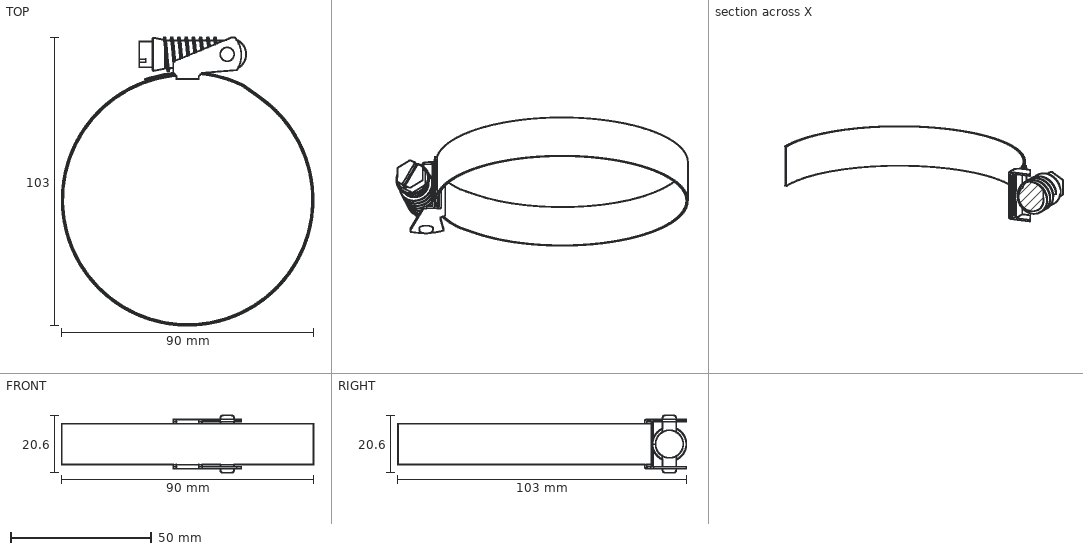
import cadquery as cq
import math


band_radius = 45.0
band_thickness = 0.6
band_width = 14.6
layer_gap = 0.05
joggle_start = 55.2
joggle_end = 64.5
inner_end_angle = 90
tongue_angle = 109.5
tongue_corner = 1.9

axis_y = 51.9
core_radius = 4.9
thread_radius = 6.1
thread_pitch = 2.6
thread_turns = 7.5
thread_start = -8.2
thread_root = 0.9
thread_crest = 0.5
thread_clearance = 0.05
thread_sink = 0.2
head_end = -17.3
head_flats = 9.3
head_corner = 0.6
collar_start = -12.6
collar_taper_end = -8.1
collar_chamfer_length = 0.3
collar_face_radius = 5.6
collar_radius = 6.0
collar_end_radius = 5.2
slot_width = 1.2
slot_depth = 2.3
slot_angle = 60
tip = 20.9
dome_radius = 5.7

pin_x = 14.1
pin_radius = 2.5
pin_rounding = 1.0
pin_end = 10.3
pin_socket_end = 3.1

sheet = 0.8
bracket_half_width = 8.9
bar_half_length = 5.2
bar_top = 46.1
strip_half_length = 4.0
strip_bottom = 43.1
foot_shoulder = 44.1
plate_bottom = 45.2
plate_left_top = 49.3
plate_top_y = 58.0
plate_top_left = 15.8
plate_top_right = 16.9
plate_nose = 19.2
plate_tail_x = 17.6
plate_tail_y = 46.3
plate_corner = 1.0

band_inner_radius = band_radius - band_thickness
lap_inner_radius = band_radius + layer_gap
lap_radius = lap_inner_radius + band_thickness


def polar(radius, angle):
    """Point in the XY plane at an angle in degrees from +X."""
    turn = math.radians(angle)
    return radius * math.cos(turn), radius * math.sin(turn)


def make_band():
    """Open ring whose end steps outwards and laps over its own beginning."""
    opposite = (inner_end_angle + joggle_start + 360) / 2
    lap_middle = (joggle_end + tongue_angle) / 2
    strip = (
        cq.Workplane("XY", origin=(0, 0, -band_width / 2))
        .moveTo(*polar(band_radius, inner_end_angle))
        .threePointArc(polar(band_radius, opposite), polar(band_radius, joggle_start))
        .lineTo(*polar(lap_radius, joggle_end))
        .threePointArc(polar(lap_radius, lap_middle), polar(lap_radius, tongue_angle))
        .lineTo(*polar(lap_inner_radius, tongue_angle))
        .threePointArc(polar(lap_inner_radius, lap_middle), polar(lap_inner_radius, joggle_end))
        .lineTo(*polar(band_inner_radius, joggle_start))
        .threePointArc(polar(band_inner_radius, opposite), polar(band_inner_radius, inner_end_angle))
        .close()
        .extrude(band_width)
    )
    tongue_middle = polar((lap_radius + lap_inner_radius) / 2, tongue_angle)
    tongue_corners = [
        cq.selectors.NearestToPointSelector((*tongue_middle, side * band_width / 2))
        for side in (-1, 1)
    ]
    return strip.edges(tongue_corners[0] + tongue_corners[1]).fillet(tongue_corner)


def make_bracket():
    """Two side plates joined by a bar above the band and a strip below it."""
    def plate(bottom):
        top_left_corner = (-bar_half_length, plate_left_top, bottom + sheet / 2)
        return (
            cq.Workplane("XY", origin=(0, 0, bottom))
            .moveTo(-bar_half_length, plate_bottom)
            .lineTo(-strip_half_length, foot_shoulder)
            .lineTo(-strip_half_length, strip_bottom)
            .lineTo(strip_half_length, strip_bottom)
            .lineTo(strip_half_length, foot_shoulder)
            .lineTo(bar_half_length, plate_bottom)
            .lineTo(plate_tail_x, plate_tail_y)
            .threePointArc((plate_nose, axis_y), (plate_top_right, plate_top_y))
            .lineTo(plate_top_left, plate_top_y)
            .lineTo(-bar_half_length, plate_left_top)
            .close()
            .extrude(sheet)
            .edges(cq.selectors.NearestToPointSelector(top_left_corner))
            .fillet(plate_corner)
        )

    inside = 2 * (bracket_half_width - sheet)
    strip = cq.Workplane("XY").box(2 * strip_half_length, sheet, inside)
    strip = strip.translate((0, strip_bottom + sheet / 2, 0))
    lap_at_bar_end = math.sqrt(lap_radius**2 - bar_half_length**2)
    bar = (
        cq.Workplane("XY", origin=(0, 0, -inside / 2))
        .moveTo(-bar_half_length, lap_at_bar_end)
        .threePointArc((0, lap_radius), (bar_half_length, lap_at_bar_end))
        .lineTo(bar_half_length, bar_top)
        .lineTo(-bar_half_length, bar_top)
        .close()
        .extrude(inside)
    )
    trough = (
        cq.Workplane("YZ", origin=(-bar_half_length, axis_y, 0))
        .circle(thread_radius + thread_clearance)
        .extrude(2 * bar_half_length)
    )
    bracket = strip.union(bar.cut(trough))
    for bottom in (-bracket_half_width, bracket_half_width - sheet):
        bracket = bracket.union(plate(bottom))

    bends = [
        cq.selectors.NearestToPointSelector((0, strip_bottom, side * bracket_half_width))
        for side in (-1, 1)
    ]
    bracket = bracket.edges(bends[0] + bends[1]).fillet(sheet)

    pin_holes = (
        cq.Workplane("XY", origin=(pin_x, axis_y, -bracket_half_width))
        .circle(pin_radius)
        .extrude(2 * bracket_half_width)
    )
    return bracket.cut(pin_holes)


def make_thread():
    """Right-handed ridge wound round +Z from the origin, starting at +X."""
    height = thread_pitch * thread_turns
    root_radius = core_radius - thread_sink
    path = cq.Wire.makeHelix(thread_pitch, height, root_radius)
    return (
        cq.Workplane("XZ")
        .moveTo(root_radius, -thread_root / 2)
        .lineTo(thread_radius, -thread_crest / 2)
        .lineTo(thread_radius, thread_crest / 2)
        .lineTo(root_radius, thread_root / 2)
        .close()
        .sweep(cq.Workplane(path), isFrenet=True)
    )


def make_screw():
    """Hexagon-headed screw with collar, thread and domed tip."""
    dome_start = tip - dome_radius + math.sqrt(dome_radius**2 - core_radius**2)
    dome_turn = math.asin(core_radius / dome_radius) / 2
    dome_middle = (
        tip - dome_radius * (1 - math.cos(dome_turn)),
        dome_radius * math.sin(dome_turn),
    )
    shank = (
        cq.Workplane("XY")
        .moveTo(collar_start, 0)
        .lineTo(collar_start, collar_face_radius)
        .lineTo(collar_start + collar_chamfer_length, collar_radius)
        .lineTo(collar_taper_end, collar_end_radius)
        .lineTo(collar_taper_end, core_radius)
        .lineTo(dome_start, core_radius)
        .threePointArc(dome_middle, (tip, 0))
        .close()
        .revolve(360, (0, 0, 0), (1, 0, 0))
    )
    thread = (
        make_thread()
        .rotate((0, 0, 0), (1, 1, 1), 120)
        .translate((thread_start, 0, 0))
    )
    head = (
        cq.Workplane("YZ", origin=(head_end, 0, 0))
        .transformed(rotate=(0, 0, 90))
        .polygon(6, head_flats / math.cos(math.pi / 6))
        .extrude(collar_start - head_end)
        .edges("|X")
        .fillet(head_corner)
    )
    slot = (
        cq.Workplane("XY")
        .box(2 * slot_depth, 2 * thread_radius, slot_width)
        .rotate((0, 0, 0), (1, 0, 0), -slot_angle)
        .translate((head_end, 0, 0))
    )
    screw = shank.union(thread).union(head).cut(slot)
    screw = screw.translate((0, axis_y, 0))

    for side in (-1, 1):
        socket = (
            cq.Workplane("XY", origin=(pin_x, axis_y, side * pin_socket_end))
            .circle(pin_radius)
            .extrude(side * thread_radius)
        )
        screw = screw.cut(socket)
    return screw


def make_pin(side):
    """Round-ended pivot pin from the screw's socket out through one plate."""
    end_face = ">Z" if side > 0 else "<Z"
    return (
        cq.Workplane("XY", origin=(pin_x, axis_y, side * pin_socket_end))
        .circle(pin_radius)
        .extrude(side * (pin_end - pin_socket_end))
        .faces(end_face)
        .edges()
        .fillet(pin_rounding)
    )


band = make_band()
bracket = make_bracket()
screw = make_screw()
pins = [make_pin(side).val() for side in (-1, 1)]

result = cq.Compound.makeCompound([band.val(), bracket.val(), screw.val(), *pins])